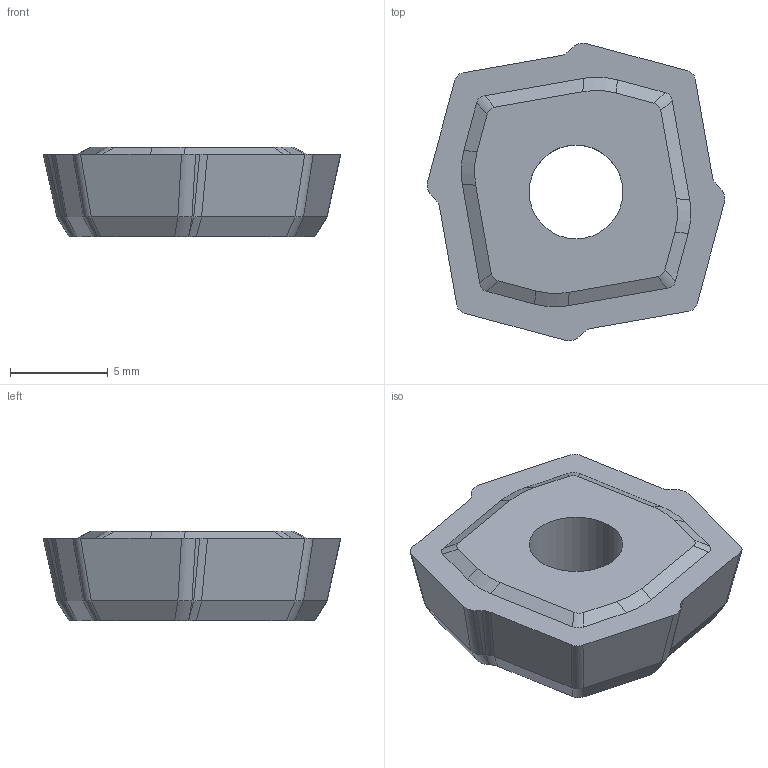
import math

import cadquery as cq

overall_width = 15.25
overall_height = 4.6
plateau_height = 0.36
rim_z = overall_height - plateau_height
relief_height = 1.02
hole_diameter = 4.8

flank_angle = 11.0
relief_angle = 29.0
flank_inset = (rim_z - relief_height) * math.tan(math.radians(flank_angle))
relief_inset = relief_height * math.tan(math.radians(relief_angle))

side_count = 4
wiper_direction = 100.0
step_direction = 135.0
cutting_direction = 75.0

wiper_distance = 7.02
cutting_distance = 7.48

step_radius = 0.75
nose_radius = 0.75
corner_radius = 0.55

plateau_wiper_distance = 5.67
plateau_cutting_distance = 6.10
plateau_inset = 0.67
plateau_nose_radius = 4.0
plateau_corner_radius = 0.5


def direction_vector(degrees):
    angle = math.radians(degrees)
    return cq.Vector(math.cos(angle), math.sin(angle))


def line_crossing(direction_1, distance_1, direction_2, distance_2):
    """Point where two lines cross, each given by its outward direction and distance from the axis."""
    normal_1 = direction_vector(direction_1)
    normal_2 = direction_vector(direction_2)
    determinant = normal_1.x * normal_2.y - normal_1.y * normal_2.x
    x = (distance_1 * normal_2.y - distance_2 * normal_1.y) / determinant
    y = (normal_1.x * distance_2 - normal_2.x * distance_1) / determinant
    return cq.Vector(x, y)


def step_distance():
    """Distance of the step edge that lets the nose arc just reach the overall width."""
    nose_center_y = overall_width / 2 - nose_radius
    cutting_normal = direction_vector(cutting_direction)
    nose_center_x = (cutting_distance - nose_radius - nose_center_y * cutting_normal.y) / cutting_normal.x
    nose_center = cq.Vector(nose_center_x, nose_center_y)
    return nose_center.dot(direction_vector(step_direction)) + nose_radius


def rounded_outline(side_edges, inset, z):
    """Closed wire of four equal sides at height z, with every edge moved inward by inset.

    side_edges lists the +Y side clockwise as (outward direction, distance, radius at the edge's end).
    """
    edges = []
    for side in range(side_count):
        turn = side * 360.0 / side_count
        for direction, distance, radius in side_edges:
            edges.append((direction - turn, distance - inset, radius))

    lift = cq.Vector(0, 0, z)
    roundings = []
    for index, (direction, distance, radius) in enumerate(edges):
        next_direction, next_distance, _ = edges[(index + 1) % len(edges)]
        turn_angle = (direction - next_direction + 180) % 360 - 180
        signed_radius = math.copysign(radius, turn_angle)
        center = line_crossing(
            direction, distance - signed_radius, next_direction, next_distance - signed_radius
        )
        start = center + direction_vector(direction) * signed_radius
        middle = center + direction_vector(direction - turn_angle / 2) * signed_radius
        end = center + direction_vector(next_direction) * signed_radius
        roundings.append((start + lift, middle + lift, end + lift))

    outline = []
    for index, (start, middle, end) in enumerate(roundings):
        previous_end = roundings[index - 1][2]
        outline.append(cq.Edge.makeLine(previous_end, start))
        outline.append(cq.Edge.makeThreePointArc(start, middle, end))
    return cq.Wire.assembleEdges(outline)


def tapered_body(lower_outline, upper_outline):
    return cq.Workplane(obj=cq.Solid.makeLoft([lower_outline, upper_outline], True))


def insert_body():
    """Flanks below the rim, with a steeper relief band around the base."""
    rim_edges = [
        (wiper_direction, wiper_distance, step_radius),
        (step_direction, step_distance(), nose_radius),
        (cutting_direction, cutting_distance, corner_radius),
    ]
    rim = rounded_outline(rim_edges, 0, rim_z)
    waist = rounded_outline(rim_edges, flank_inset, relief_height)
    base = rounded_outline(rim_edges, flank_inset + relief_inset, 0)
    return tapered_body(base, waist).union(tapered_body(waist, rim))


def plateau():
    """Raised, bevelled island on the top face."""
    plateau_edges = [
        (wiper_direction, plateau_wiper_distance, plateau_nose_radius),
        (cutting_direction, plateau_cutting_distance, plateau_corner_radius),
    ]
    foot = rounded_outline(plateau_edges, 0, rim_z)
    top = rounded_outline(plateau_edges, plateau_inset, overall_height)
    return tapered_body(foot, top)


def center_hole():
    return cq.Workplane("XY").circle(hole_diameter / 2).extrude(overall_height)


result = insert_body().union(plateau()).cut(center_hole())